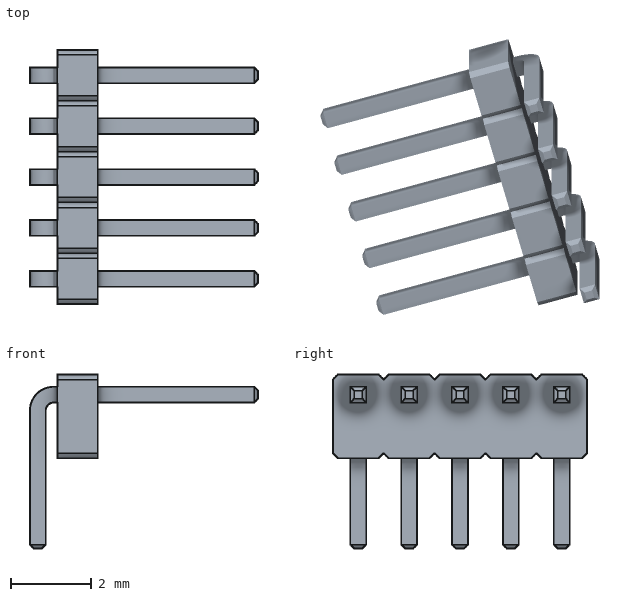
import cadquery as cq


overall_length = 5.7
overall_height = 4.35

pin_count = 5
pitch = 1.27

housing_start = 0.685
housing_thickness = 1.015
housing_height = 2.095
corner_bevel = 0.13
housing_width = pin_count * pitch
housing_bottom = overall_height - housing_height

pin_width = 0.4
pin_top_below_housing_top = 0.305
tip_chamfer = 0.1
bend_inner_radius = 0.2
bend_outer_radius = bend_inner_radius + pin_width
pin_top = overall_height - pin_top_below_housing_top
pin_underside = pin_top - pin_width
bend_center_z = pin_top - bend_outer_radius


def row_position(index):
    """Y position of one pin, with the row centred on Y = 0."""
    return (index - (pin_count - 1) / 2) * pitch


def make_housing_cell(y):
    """One pitch of the housing; the bevels of adjacent cells form the V notches."""
    return (
        cq.Workplane("XY")
        .box(housing_thickness, pitch, housing_height, centered=(False, True, False))
        .edges("|X")
        .chamfer(corner_bevel)
        .translate((housing_start, y, housing_bottom))
    )


def make_pin(y):
    """Square pin bent through a right angle, with both tips chamfered."""
    bend_center = cq.Vector(bend_outer_radius, bend_center_z)
    diagonal = cq.Vector(-1, 1).normalized()
    outer_mid = bend_center + diagonal * bend_outer_radius
    inner_mid = bend_center + diagonal * bend_inner_radius
    pin = (
        cq.Workplane("XZ", origin=(0, y, 0))
        .moveTo(0, 0)
        .lineTo(0, bend_center_z)
        .threePointArc((outer_mid.x, outer_mid.y), (bend_outer_radius, pin_top))
        .lineTo(overall_length, pin_top)
        .lineTo(overall_length, pin_underside)
        .lineTo(bend_outer_radius, pin_underside)
        .threePointArc((inner_mid.x, inner_mid.y), (pin_width, bend_center_z))
        .lineTo(pin_width, 0)
        .close()
        .extrude(pin_width / 2, both=True)
    )
    pin = pin.faces("<Z").chamfer(tip_chamfer)
    return pin.faces(">X").chamfer(tip_chamfer)


result = make_housing_cell(row_position(0))
for index in range(1, pin_count):
    result = result.union(make_housing_cell(row_position(index)))
result = result.clean()

for index in range(pin_count):
    result = result.union(make_pin(row_position(index)))